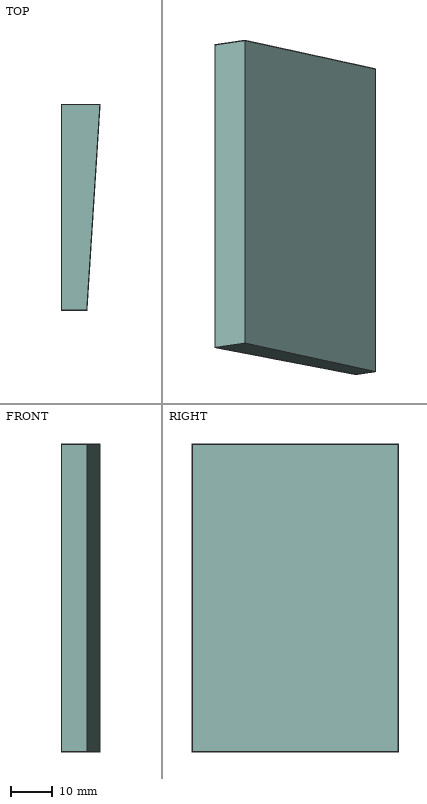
import cadquery as cq

thick_end = 9.4
thin_end = 6.2
length = 50.0
height = 74.7


def wedge_plate():
    """Plate with a flat -X face and a sloping +X face, constant along Z."""
    profile = [
        (0, 0),
        (thin_end, 0),
        (thick_end, length),
        (0, length),
    ]
    return cq.Workplane("XY").polyline(profile).close().extrude(height)


result = wedge_plate()